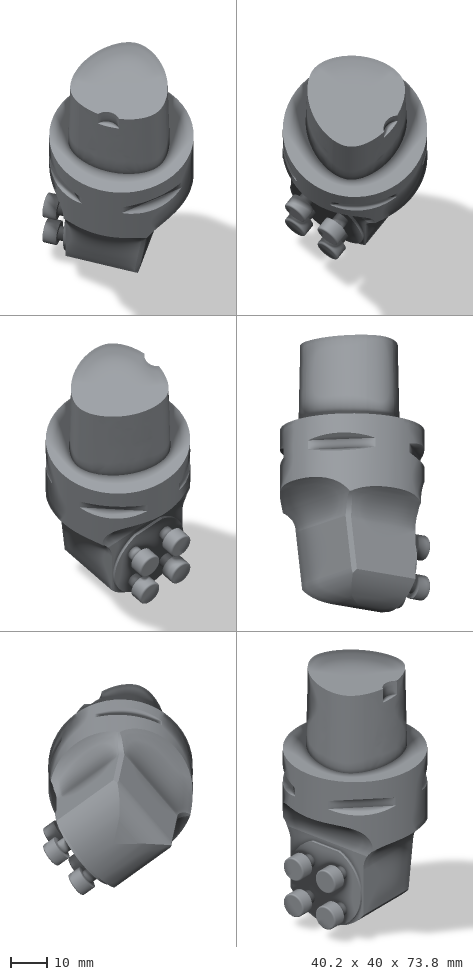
import cadquery as cq
import math

TOTAL_HEIGHT = 73.8
SHANK_HEIGHT = 24.05
BOTTOM_Z = SHANK_HEIGHT - TOTAL_HEIGHT

SHANK_BASE_RADIUS = 14.0
SHANK_TOP_RADIUS = 13.5
LOBE_HEIGHT = 0.9
SHANK_FACES = 6
POINTS_PER_FACE = 9
NOTCH_RADIUS = 3.85
NOTCH_INNER_Y = -10.9
NOTCH_DEPTH = 4.3

FLANGE_RADIUS = 20.0
SLOT_COUNT = 4
SLOT_Z = -8.0
SLOT_FLOOR_DISTANCE = 17.65
SLOT_FLOOR_HEIGHT = 2.5
SLOT_MOUTH_HEIGHT = 5.1

FACE_X = -12.3
FRONT_NECK_TOP_Z = -13.7
FRONT_NECK_RADIUS = 8.05
BACK_NECK_TOP_Z = -17.1
BACK_NECK_MIDDLE = (13.35, -20.5)
BACK_SLOPE_TOP = (10.7, -28.1)
BACK_SLOPE_BOTTOM = (8.7, -42.8)
TOE_BLEND = (2.95, -49.1)
TOE_START_X = -2.5

BEVEL_ANGLE = 45
BEVEL_NECK_TOP_Z = -22.0
BEVEL_NECK_MIDDLE = (17.2, -24.35)
BEVEL_SLOPE_TOP = (15.95, -28.1)
BEVEL_SLOPE_BOTTOM = (14.55, -42.8)

HEAD_HALF_WIDTH = 12.9
SIDE_NECK_RADIUS = 8.6
SIDE_NECK_END_Z = -28.8
SIDE_BOTTOM_Z = -43.1

PAD_RADIUS = 12.55
PAD_THICKNESS = 0.8
PAD_BOTTOM_GAP = 0.1
PAD_FLAT_Z = -25.5
SCREW_SPACING = 11.4
SCREW_CENTRE_Z = -37.5
SCREW_TIP_X = -20.2
SCREW_HEAD_DIAMETER = 7.0
SCREW_HEAD_LENGTH = 4.0
SCREW_SHANK_DIAMETER = 4.0
SCREW_EDGE_FILLET = 0.45

PAD_X = FACE_X - PAD_THICKNESS


def lobed_point(mean_radius, angle, z):
    """Point whose outward normal is at angle, on a three-lobed constant-width curve."""
    reach = mean_radius - LOBE_HEIGHT * math.sin(3 * angle)
    slope = -3 * LOBE_HEIGHT * math.cos(3 * angle)
    x = reach * math.cos(angle) - slope * math.sin(angle)
    y = reach * math.sin(angle) + slope * math.cos(angle)
    return cq.Vector(x, y, z)


def lobed_wire(mean_radius, z):
    face_angle = 2 * math.pi / SHANK_FACES
    edges = []
    for face in range(SHANK_FACES):
        angles = [face_angle * (face + i / (POINTS_PER_FACE - 1)) for i in range(POINTS_PER_FACE)]
        points = [lobed_point(mean_radius, angle, z) for angle in angles]
        tangents = [cq.Vector(-math.sin(a), math.cos(a), 0) for a in (angles[0], angles[-1])]
        edges.append(cq.Edge.makeSpline(points, tangents=tangents))
    return cq.Wire.assembleEdges(edges)


def make_shank():
    base = lobed_wire(SHANK_BASE_RADIUS, 0)
    top = lobed_wire(SHANK_TOP_RADIUS, SHANK_HEIGHT)
    shank = cq.Workplane(cq.Solid.makeLoft([base, top], True))
    notch = (
        cq.Workplane("XY", origin=(0, NOTCH_INNER_Y - NOTCH_RADIUS, SHANK_HEIGHT))
        .circle(NOTCH_RADIUS)
        .extrude(-NOTCH_DEPTH)
    )
    return shank.cut(notch)


def front_profile():
    """XZ outline of the body: both necks, the sloping back and the rounded toe."""
    neck_centre_x = -FLANGE_RADIUS
    neck_centre_z = FRONT_NECK_TOP_Z - FRONT_NECK_RADIUS
    face_offset = FACE_X - neck_centre_x
    neck_end_z = neck_centre_z - math.sqrt(FRONT_NECK_RADIUS**2 - face_offset**2)
    return (
        cq.Workplane("XZ")
        .moveTo(-FLANGE_RADIUS, 0)
        .lineTo(-FLANGE_RADIUS, FRONT_NECK_TOP_Z)
        .threePointArc((neck_centre_x + FRONT_NECK_RADIUS, neck_centre_z), (FACE_X, neck_end_z))
        .lineTo(FACE_X, BOTTOM_Z)
        .lineTo(TOE_START_X, BOTTOM_Z)
        .tangentArcPoint(TOE_BLEND, relative=False)
        .tangentArcPoint(BACK_SLOPE_BOTTOM, relative=False)
        .lineTo(*BACK_SLOPE_TOP)
        .threePointArc(BACK_NECK_MIDDLE, (FLANGE_RADIUS, BACK_NECK_TOP_Z))
        .lineTo(FLANGE_RADIUS, 0)
        .close()
        .extrude(FLANGE_RADIUS, both=True)
    )


def side_profile():
    """YZ outline of the body: mirrored necks, parallel sides and an arched bottom."""
    neck_centre_y = HEAD_HALF_WIDTH + SIDE_NECK_RADIUS

    def neck_point(y):
        drop = math.sqrt(SIDE_NECK_RADIUS**2 - (neck_centre_y - y) ** 2)
        return y, SIDE_NECK_END_Z + drop

    middle_y, middle_z = neck_point((HEAD_HALF_WIDTH + FLANGE_RADIUS) / 2)
    outer_y, outer_z = neck_point(FLANGE_RADIUS)
    return (
        cq.Workplane("YZ")
        .moveTo(outer_y, 0)
        .lineTo(outer_y, outer_z)
        .threePointArc((middle_y, middle_z), (HEAD_HALF_WIDTH, SIDE_NECK_END_Z))
        .lineTo(HEAD_HALF_WIDTH, SIDE_BOTTOM_Z)
        .threePointArc((0, BOTTOM_Z), (-HEAD_HALF_WIDTH, SIDE_BOTTOM_Z))
        .lineTo(-HEAD_HALF_WIDTH, SIDE_NECK_END_Z)
        .threePointArc((-middle_y, middle_z), (-outer_y, outer_z))
        .lineTo(-outer_y, 0)
        .close()
        .extrude(FLANGE_RADIUS, both=True)
    )


def back_bevel(angle):
    """Cutter that bevels one back corner along its own neck and slope."""
    run = BEVEL_SLOPE_TOP[0] - BEVEL_SLOPE_BOTTOM[0]
    rise = BEVEL_SLOPE_TOP[1] - BEVEL_SLOPE_BOTTOM[1]
    bottom_distance = BEVEL_SLOPE_BOTTOM[0] - (BEVEL_SLOPE_BOTTOM[1] - BOTTOM_Z) * run / rise
    return (
        cq.Workplane("XZ")
        .moveTo(bottom_distance, BOTTOM_Z)
        .lineTo(*BEVEL_SLOPE_TOP)
        .threePointArc(BEVEL_NECK_MIDDLE, (FLANGE_RADIUS, BEVEL_NECK_TOP_Z))
        .lineTo(FLANGE_RADIUS, BOTTOM_Z)
        .close()
        .extrude(FLANGE_RADIUS, both=True)
        .rotate((0, 0, 0), (0, 0, 1), angle)
    )


def make_body():
    blank = cq.Workplane("XY").circle(FLANGE_RADIUS).extrude(BOTTOM_Z)
    body = blank.intersect(front_profile()).intersect(side_profile())
    for angle in (-BEVEL_ANGLE, BEVEL_ANGLE):
        body = body.cut(back_bevel(angle))
    return body


def gripper_slot(angle):
    """Trapezoidal slot that widens outward from a flat floor."""
    half_floor = SLOT_FLOOR_HEIGHT / 2
    half_mouth = SLOT_MOUTH_HEIGHT / 2
    return (
        cq.Workplane("XZ", origin=(0, 0, SLOT_Z))
        .moveTo(SLOT_FLOOR_DISTANCE, -half_floor)
        .lineTo(FLANGE_RADIUS, -half_mouth)
        .lineTo(FLANGE_RADIUS, half_mouth)
        .lineTo(SLOT_FLOOR_DISTANCE, half_floor)
        .close()
        .extrude(FLANGE_RADIUS, both=True)
        .rotate((0, 0, 0), (0, 0, 1), angle)
    )


def make_pad():
    centre_z = BOTTOM_Z + PAD_BOTTOM_GAP + PAD_RADIUS
    flat_height = PAD_FLAT_Z - centre_z
    half_flat = math.sqrt(PAD_RADIUS**2 - flat_height**2)
    return (
        cq.Workplane("YZ", origin=(PAD_X, 0, centre_z))
        .moveTo(-half_flat, flat_height)
        .threePointArc((0, -PAD_RADIUS), (half_flat, flat_height))
        .close()
        .extrude(PAD_THICKNESS)
    )


def make_screws():
    head = (
        cq.Workplane("YZ", origin=(SCREW_TIP_X, 0, SCREW_CENTRE_Z))
        .rect(SCREW_SPACING, SCREW_SPACING, forConstruction=True)
        .vertices()
        .circle(SCREW_HEAD_DIAMETER / 2)
        .extrude(SCREW_HEAD_LENGTH)
        .faces("<X")
        .edges()
        .fillet(SCREW_EDGE_FILLET)
    )
    shank = (
        cq.Workplane("YZ", origin=(SCREW_TIP_X, 0, SCREW_CENTRE_Z))
        .rect(SCREW_SPACING, SCREW_SPACING, forConstruction=True)
        .vertices()
        .circle(SCREW_SHANK_DIAMETER / 2)
        .extrude(PAD_X - SCREW_TIP_X)
    )
    return head.union(shank)


result = make_body()
for index in range(SLOT_COUNT):
    result = result.cut(gripper_slot((index + 0.5) * 360 / SLOT_COUNT))
result = result.union(make_shank()).union(make_pad()).union(make_screws())